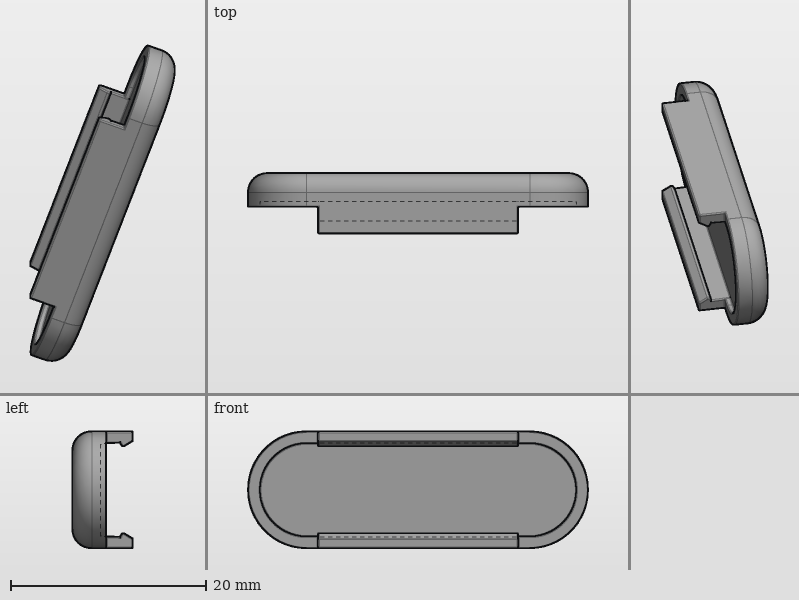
import cadquery as cq

length = 34.88
height = 12.0
base_depth = 3.5
back_radius = 2.0
wall = 1.22
pocket_depth = 0.6
rim_edge_radius = 0.1

total_depth = 6.2
arm_length = 20.5
arm_root_thickness = 1.25
arm_neck_thickness = 1.2
arm_edge_radius = 0.15
arm_corner_radius = 0.1
tip_thickness = 1.0
hook_height = 1.65
hook_peak_setback = 1.05
hook_base_setback = 1.33
hook_peak_radius = 0.2

rim_y = -base_depth
tip_y = -total_depth
pocket_floor_y = rim_y + pocket_depth
outer_z = height / 2


def hollow_base():
    """Slot-shaped plate with a domed back edge and a shallow recess in its front."""
    plate = cq.Workplane("XZ").slot2D(length, height).extrude(base_depth)
    plate = plate.faces(">Y").edges().fillet(back_radius)
    recess = (
        cq.Workplane("XZ", origin=(0, pocket_floor_y, 0))
        .slot2D(length - 2 * wall, height - 2 * wall)
        .extrude(pocket_depth)
    )
    recess = recess.faces(">Y").edges().fillet(rim_edge_radius)
    return plate.cut(recess).faces("<Y").edges().fillet(rim_edge_radius)


def clip_arm():
    """Upper arm, flush with the outer side, with a tapered inner face and an inward hook at its tip."""
    profile = [
        (pocket_floor_y, outer_z),
        (tip_y, outer_z),
        (tip_y, outer_z - tip_thickness),
        (tip_y + hook_peak_setback, outer_z - hook_height),
        (tip_y + hook_base_setback, outer_z - arm_neck_thickness),
        (pocket_floor_y, outer_z - arm_root_thickness),
    ]
    arm = cq.Workplane("YZ").polyline(profile).close().extrude(arm_length / 2, both=True)
    arm = arm.edges("<Z").fillet(hook_peak_radius)
    tip_lines = arm.faces("<Y").edges("|X")
    end_outlines = arm.faces("<X or >X").edges("not >Y")
    return tip_lines.add(end_outlines).fillet(arm_edge_radius)


def round_arm_corners(part):
    """Round the concave corners where the arm ends meet the front of the rim."""
    half_band = rim_edge_radius / 2
    rim_band = cq.selectors.BoxSelector(
        (-length, rim_y - half_band, -height),
        (length, rim_y + half_band, height),
    )
    return part.edges(rim_band).edges("|Z").fillet(arm_corner_radius)


upper_arm = clip_arm()
lower_arm = upper_arm.mirror("XY")
result = round_arm_corners(hollow_base().union(upper_arm).union(lower_arm))